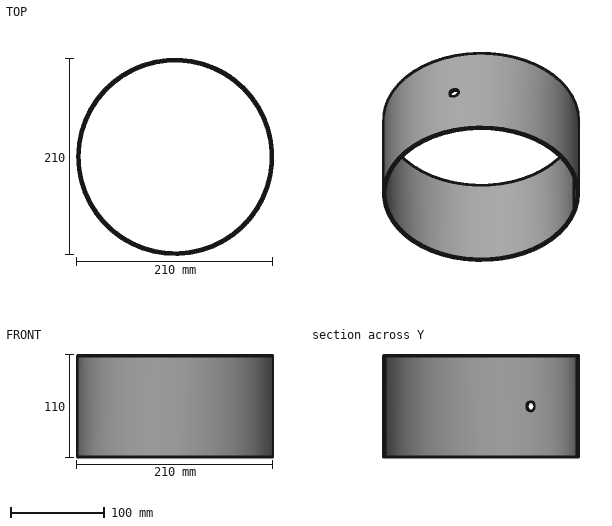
import cadquery as cq

outer_diameter = 210.0
height = 110.0
wall = 2.5
chamfer_width = 0.6
chamfer_height = 1.5
split_width = 1.7
hole_diameter = 10.0
hole_angle = 59.0

outer_radius = outer_diameter / 2
inner_radius = outer_radius - wall
half_height = height / 2


def make_ring():
    """Revolve the wall section, chamfered at all four corners, about Z."""
    rim_inner = inner_radius + chamfer_width
    rim_outer = outer_radius - chamfer_width
    shoulder = half_height - chamfer_height
    section = cq.Workplane("XZ").polyline([
        (rim_inner, -half_height),
        (rim_outer, -half_height),
        (outer_radius, -shoulder),
        (outer_radius, shoulder),
        (rim_outer, half_height),
        (rim_inner, half_height),
        (inner_radius, shoulder),
        (inner_radius, -shoulder),
    ]).close()
    ring = section.revolve(360, (0, 0, 0), (0, 1, 0))
    return ring.rotate((0, 0, 0), (0, 0, 1), 180)


def make_split():
    """Full-height slit on the -X side, with one face on the XZ plane."""
    depth = 3 * wall
    slit = cq.Workplane("XY").box(depth, split_width, height, centered=(True, False, True))
    return slit.translate((wall / 2 - outer_radius, 0, 0))


def make_hole():
    """Radial hole through one wall at mid height."""
    drill_start = cq.Workplane("YZ", origin=(inner_radius - wall, 0, 0))
    drill = drill_start.circle(hole_diameter / 2).extrude(3 * wall)
    return drill.rotate((0, 0, 0), (0, 0, 1), hole_angle)


result = make_ring().cut(make_split()).cut(make_hole())